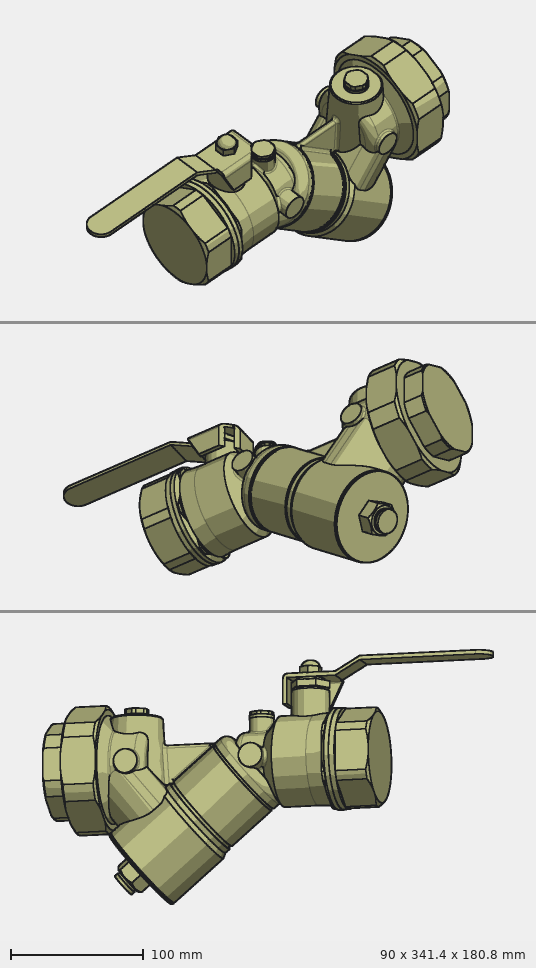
import math

import cadquery as cq

RUN_DIR = (0, -1, 0)
SIDE_NORMAL = (-1, 0, 0)

NEARLY_FULL_ROUND = 0.98

inlet_face = -199.5
nut_start = -182.8
nut_end = -155.7
tail_flats = 69.0
tail_corner_radius = 36.7
nut_flats = 90.0
nut_corner_radius = 48.5
nut_chamfer_length = 1.8
nut_chamfer_depth = 3.0
hex_edge_chamfer = 1.0

cone_large_radius = 41.0
cone_end = -149.2
inlet_neck_radius = 31.0
inlet_neck_end = -122.0
inlet_neck_fillet = 7.4
cone_root_fillet = 1.5
port_radius = 9.2
port_reach = 34.5
port_root_fillet = 1.5
inlet_port_station = -135.3

boss_top = 38.3
boss_bottom = -14.0
boss_top_radius = 20.0
boss_bottom_radius = 23.3
boss_edge_chamfer = 1.0
plug_flats = 17.0
plug_corner_radius = 9.0
plug_collar_radius = 9.5
plug_collar_height = 2.4
inlet_plug_top = 44.9

branch_angle = 40.0
branch_station = -40.0
cap_face = -120.52
cap_radius = 35.6
cap_chamfer = 0.6
cap_line_offset = 1.6
cap_line_width = 0.6
cap_line_depth = 0.4
cap_taper_start = -68.5
cap_taper_end = -64.6
cap_lip_radius = 33.5
cap_groove_start = -60.2
cap_groove_end = -57.5
cap_groove_radius = 32.2
barrel_radius = 33.0
collar_groove_start = -17.2
collar_groove_end = -15.2
collar_groove_radius = 32.2
collar_radius = 33.1
collar_end = -2.5
collar_fillet = 7.2

drain_nut_flats = 24.0
drain_nut_height = 12.5
drain_nut_chamfer_length = 2.0
drain_nut_chamfer_depth = 2.5
drain_neck_radius = 9.0
drain_head_height = 3.0
drain_tip = -138.2

passage_half_width = 30.5
passage_round_centre = -81.4
passage_upper_side = -64.8
passage_corner_radius = 10.0
passage_start_height = 68.0
passage_end_height = 5.0

rib_half_thickness = 2.4
rib_top = 16.7
rib_inlet_station = -120.0
rib_outlet_station = -72.0
rib_depth = 40.0
rib_root_fillet = 3.0

outlet_neck_radius = 23.2
outlet_neck_start = -55.0
outlet_neck_fillet = 6.0
outlet_port_station = -38.0
outlet_plug_top = 38.3
outlet_plug_seat = 33.4
body_cone_start = -31.0
body_start = -21.5
body_radius = 34.4
body_step = 5.1
body_step_radius = 35.2
body_end = 17.6
flange_start = 20.4
flange_end = 28.3
flange_radius = 38.6
flange_step_station = 24.0
flange_step_depth = 0.3
outlet_face = 54.0
outlet_corner_radius = 37.8
outlet_chamfer_length = 2.0
outlet_chamfer_depth = 3.2

stem_radius = 14.4
stem_top = 52.7
gland_neck_radius = 10.5
gland_flats = 25.8
gland_bottom = 54.8
gland_top = 60.0
cap_nut_flats = 14.8
cap_nut_shoulder = 71.2
cap_nut_top = 76.4

lever_thickness = 3.2
lever_top = 76.4
lever_plate_top = 65.4
lever_half_width = 10.9
lever_back = -18.8
lever_bend_start = 22.0
lever_bend_end = 41.2
lever_tip = 141.9
lug_bottom = 42.2
lug_outer_x = 19.4
lug_start = -7.3
lug_end = 20.6
lug_foot_end = 11.0
plate_corner_x = 7.7
stop_bend_radius = 4.0


def side_plane(station, height, angle):
    """Mid-plane drawing plane: local x along the tilted run direction, local y upward."""
    tilt = math.radians(angle)
    return cq.Plane(
        origin=(0, -station, height),
        xDir=(0, -math.cos(tilt), math.sin(tilt)),
        normal=SIDE_NORMAL,
    )


RUN = side_plane(0, 0, 0)
BRANCH = side_plane(branch_station, 0, branch_angle)


def turned(plane, outline):
    """Revolve (distance, radius) points about the local x axis of the plane."""
    start = (outline[0][0], 0)
    end = (outline[-1][0], 0)
    return cq.Workplane(plane).polyline([start] + outline + [end]).close().revolve(360, (0, 0), (1, 0))


def hex_prism(plane, flats, length):
    return cq.Workplane(plane).polygon(6, flats / math.cos(math.pi / 6)).extrude(length)


def run_hex(start, end, flats, envelope):
    """Hexagon along the run with flats at +-X, trimmed by a turned envelope."""
    plane = cq.Plane(origin=(0, -start, 0), xDir=(0, 0, 1), normal=RUN_DIR)
    return hex_prism(plane, flats, end - start).intersect(turned(RUN, envelope))


def upright(station, bottom):
    """Horizontal plane on the run's mid-plane with its normal along +Z."""
    return cq.Workplane("XY", origin=(0, -station, bottom))


def upright_hex(station, bottom, top, flats):
    """Vertical hexagon with corners at +-X."""
    return hex_prism(upright(station, bottom).plane, flats, top - bottom)


def plug_head(station, bottom, top):
    collar = upright(station, bottom).circle(plug_collar_radius).extrude(plug_collar_height)
    head = upright_hex(station, bottom, top, plug_flats)
    round_envelope = upright(station, bottom).circle(plug_corner_radius).extrude(top - bottom)
    return collar.union(head.intersect(round_envelope))


def side_ports(station):
    """A pair of plain round ports pointing to both sides."""
    return cq.Workplane("YZ", origin=(0, -station, 0)).circle(port_radius).extrude(port_reach, both=True)


def edges_around(part, centre, size):
    """Edges whose centres lie inside a box of the given full size."""
    low = tuple(c - s / 2 for c, s in zip(centre, size))
    high = tuple(c + s / 2 for c, s in zip(centre, size))
    return part.edges(cq.selectors.BoxSelector(low, high))


def fillet_port_roots(part, station):
    """Round the seams where a pair of side ports leaves the body."""
    box_side = 2 * port_radius + port_root_fillet
    box_width = 2 * port_reach - port_root_fillet
    seams = edges_around(part, (0, -station, 0), (box_width, box_side, box_side)).edges("%BSPLINE or %OTHER")
    return seams.fillet(port_root_fillet)


def union_end():
    tail = run_hex(inlet_face, nut_end, tail_flats, [
        (inlet_face, tail_corner_radius - hex_edge_chamfer),
        (inlet_face + hex_edge_chamfer, tail_corner_radius),
        (nut_end, tail_corner_radius),
    ])
    nut = run_hex(nut_start, nut_end, nut_flats, [
        (nut_start, nut_corner_radius - nut_chamfer_depth),
        (nut_start + nut_chamfer_length, nut_corner_radius),
        (nut_end - nut_chamfer_length, nut_corner_radius),
        (nut_end, nut_corner_radius - nut_chamfer_depth),
    ])
    return tail.union(nut)


def inlet_neck():
    neck = turned(RUN, [
        (nut_end, cone_large_radius),
        (cone_end, inlet_neck_radius),
        (inlet_neck_end, inlet_neck_radius),
    ])
    neck = neck.faces("<Y").edges().fillet(inlet_neck_fillet)
    cone_root = cq.NearestToPointSelector((0, -cone_end, 0))
    neck = neck.edges(cone_root).fillet(cone_root_fillet).union(side_ports(inlet_port_station))
    return fillet_port_roots(neck, inlet_port_station)


def cover_boss():
    upward = cq.Plane(origin=(0, -inlet_port_station, 0), xDir=(0, 0, 1), normal=SIDE_NORMAL)
    boss = turned(upward, [
        (boss_bottom, boss_bottom_radius),
        (boss_top - boss_edge_chamfer, boss_top_radius),
        (boss_top, boss_top_radius - boss_edge_chamfer),
    ])
    return boss.union(plug_head(inlet_port_station, boss_top, inlet_plug_top))


def strainer_branch():
    cap_line_start = cap_face + cap_line_offset
    cap_line_end = cap_line_start + cap_line_width
    branch = turned(BRANCH, [
        (cap_face, cap_radius - cap_chamfer),
        (cap_face + cap_chamfer, cap_radius),
        (cap_line_start, cap_radius),
        (cap_line_start, cap_radius - cap_line_depth),
        (cap_line_end, cap_radius - cap_line_depth),
        (cap_line_end, cap_radius),
        (cap_taper_start, cap_radius),
        (cap_taper_end, cap_lip_radius),
        (cap_groove_start, cap_lip_radius),
        (cap_groove_start, cap_groove_radius),
        (cap_groove_end, cap_groove_radius),
        (cap_groove_end, barrel_radius),
        (collar_groove_start, barrel_radius),
        (collar_groove_start, collar_groove_radius),
        (collar_groove_end, collar_groove_radius),
        (collar_groove_end, collar_radius),
        (collar_end, collar_radius),
    ])
    end_point = BRANCH.toWorldCoords((collar_end, 0, 0))
    end_rim = cq.NearestToPointSelector((collar_radius, end_point.y, end_point.z))
    return branch.edges(end_rim).fillet(collar_fillet)


def drain_nut():
    base = BRANCH.toWorldCoords((cap_face, 0, 0))
    outward = cq.Plane(origin=base, xDir=BRANCH.yDir, normal=BRANCH.xDir * -1)
    corner_radius = drain_nut_flats / 2 / math.cos(math.pi / 6)
    nut_face = cap_face - drain_nut_height
    envelope = turned(BRANCH, [
        (nut_face, corner_radius - drain_nut_chamfer_depth),
        (nut_face + drain_nut_chamfer_length, corner_radius),
        (cap_face, corner_radius),
    ])
    nut = hex_prism(outward, drain_nut_flats, drain_nut_height).intersect(envelope)
    stub = turned(BRANCH, [
        (drain_tip, plug_collar_radius),
        (drain_tip + drain_head_height, plug_collar_radius),
        (drain_tip + drain_head_height, drain_neck_radius),
        (cap_face, drain_neck_radius),
    ])
    return nut.union(stub)


def passage():
    """Half-round-backed duct square to the branch axis, from the inlet neck down to the cap."""
    origin = BRANCH.toWorldCoords((0, passage_start_height, 0))
    plane = cq.Plane(origin=origin, xDir=BRANCH.xDir, normal=BRANCH.yDir * -1)
    length = passage_start_height - passage_end_height
    width = passage_half_width
    return (
        cq.Workplane(plane)
        .moveTo(passage_round_centre, -width)
        .lineTo(passage_upper_side - passage_corner_radius, -width)
        .radiusArc((passage_upper_side, passage_corner_radius - width), -passage_corner_radius)
        .lineTo(passage_upper_side, width - passage_corner_radius)
        .radiusArc((passage_upper_side - passage_corner_radius, width), -passage_corner_radius)
        .lineTo(passage_round_centre, width)
        .threePointArc((passage_round_centre - width, 0), (passage_round_centre, -width))
        .close()
        .extrude(length)
    )


def rib():
    buried_slant = rib_depth * math.sin(math.radians(branch_angle))
    web = (
        cq.Workplane(RUN)
        .moveTo(rib_inlet_station, rib_top)
        .lineTo(rib_outlet_station, rib_top)
        .lineTo(rib_outlet_station - buried_slant, rib_top - rib_depth)
        .lineTo(rib_inlet_station, rib_top - rib_depth)
        .close()
        .extrude(rib_half_thickness, both=True)
    )
    return web.faces(">Z").edges("|Y").fillet(NEARLY_FULL_ROUND * rib_half_thickness)


def ribbed_boss():
    """Cover boss carrying the rib, with the seams between them rounded."""
    part = cover_boss().union(rib())
    return part.edges("%HYPERBOLA").fillet(rib_root_fillet)


def rib_foot():
    """Concave flare blending both rib sides into the barrel."""
    foot_half_width = rib_half_thickness + rib_root_fillet
    foot_base = math.sqrt(barrel_radius**2 - foot_half_width**2)
    foot_top = foot_base + rib_root_fillet
    origin = BRANCH.toWorldCoords((cap_groove_end, 0, 0))
    plane = cq.Plane(origin=origin, xDir=(1, 0, 0), normal=BRANCH.xDir)
    return (
        cq.Workplane(plane)
        .moveTo(-foot_half_width, foot_base)
        .radiusArc((-rib_half_thickness, foot_top), -rib_root_fillet)
        .lineTo(rib_half_thickness, foot_top)
        .radiusArc((foot_half_width, foot_base), -rib_root_fillet)
        .close()
        .extrude(collar_groove_start - cap_groove_end)
    )


def ball_body():
    neck = turned(RUN, [
        (outlet_neck_start, outlet_neck_radius),
        (body_start, outlet_neck_radius),
    ]).faces(">Y").edges().fillet(outlet_neck_fillet)
    step_radius = flange_radius - flange_step_depth
    body = turned(RUN, [
        (body_cone_start, outlet_neck_radius),
        (body_start, body_radius),
        (body_step, body_radius),
        (body_end, body_step_radius),
        (flange_start, flange_radius),
        (flange_step_station, flange_radius),
        (flange_step_station, step_radius),
        (flange_end, step_radius),
    ])
    outlet = run_hex(body_end, outlet_face, tail_flats, [
        (body_end, outlet_corner_radius),
        (outlet_face - outlet_chamfer_length, outlet_corner_radius),
        (outlet_face, outlet_corner_radius - outlet_chamfer_depth),
    ])
    casting = neck.union(body).union(outlet).union(side_ports(outlet_port_station))
    casting = fillet_port_roots(casting, outlet_port_station)
    casting = casting.union(upright(outlet_port_station, 0).circle(port_radius).extrude(outlet_plug_seat))
    box_side = 2 * port_radius + port_root_fillet
    plug_root = (0, -outlet_port_station, outlet_neck_radius)
    seams = edges_around(casting, plug_root, (box_side, box_side, box_side))
    casting = seams.edges("%BSPLINE").fillet(port_root_fillet)
    return casting.union(plug_head(outlet_port_station, outlet_plug_seat, outlet_plug_top))


def stem():
    lever_underside = lever_plate_top - lever_thickness
    post = upright(0, 0).circle(stem_radius).extrude(stem_top)
    spindle = upright(0, 0).circle(gland_neck_radius).extrude(lever_underside)
    gland_plane = cq.Plane(origin=(0, 0, gland_bottom), xDir=(0, 1, 0), normal=(0, 0, 1))
    gland = hex_prism(gland_plane, gland_flats, gland_top - gland_bottom)
    cap_nut = upright_hex(0, lever_underside, cap_nut_shoulder, cap_nut_flats)
    dome_edge = cap_nut_flats / 2
    dome_height = cap_nut_top - cap_nut_shoulder
    diagonal = math.sin(math.pi / 4)
    dome_middle = (dome_edge * diagonal, cap_nut_shoulder + dome_height * diagonal)
    dome = (
        cq.Workplane("XZ")
        .moveTo(0, cap_nut_shoulder)
        .lineTo(dome_edge, cap_nut_shoulder)
        .threePointArc(dome_middle, (0, cap_nut_top))
        .close()
        .revolve(360, (0, 0), (0, 1))
    )
    return post.union(spindle).union(gland).union(cap_nut).union(dome)


def lever():
    underside = lever_plate_top - lever_thickness
    grip_underside = lever_top - lever_thickness
    strip = (
        cq.Workplane(RUN)
        .moveTo(lever_back, lug_bottom)
        .lineTo(lever_back, lever_plate_top - stop_bend_radius)
        .radiusArc((lever_back + stop_bend_radius, lever_plate_top), stop_bend_radius)
        .lineTo(lever_bend_start, lever_plate_top)
        .lineTo(lever_bend_end, lever_top)
        .lineTo(lever_tip, lever_top)
        .lineTo(lever_tip, grip_underside)
        .lineTo(lever_bend_end, grip_underside)
        .lineTo(lever_bend_start, underside)
        .lineTo(lever_back + lever_thickness, underside)
        .lineTo(lever_back + lever_thickness, lug_bottom)
        .close()
        .extrude(lever_half_width, both=True)
    )
    strip = strip.faces("<Y").edges("|Z").fillet(NEARLY_FULL_ROUND * lever_half_width)
    bracket_start = lever_back + stop_bend_radius
    inner_bend = stop_bend_radius - lever_thickness
    bracket = (
        cq.Workplane("XZ", origin=(0, -bracket_start, 0))
        .moveTo(0, lever_plate_top)
        .lineTo(lug_outer_x - stop_bend_radius, lever_plate_top)
        .radiusArc((lug_outer_x, lever_plate_top - stop_bend_radius), stop_bend_radius)
        .lineTo(lug_outer_x, lug_bottom)
        .lineTo(lug_outer_x - lever_thickness, lug_bottom)
        .lineTo(lug_outer_x - lever_thickness, lever_plate_top - stop_bend_radius)
        .radiusArc((lug_outer_x - stop_bend_radius, underside), -inner_bend)
        .lineTo(0, underside)
        .close()
        .extrude(lug_end - bracket_start)
    )
    foot_cut = (
        cq.Workplane(RUN)
        .moveTo(lug_end, underside)
        .lineTo(lug_end, lug_bottom)
        .lineTo(lug_foot_end, lug_bottom)
        .close()
        .extrude(-lug_outer_x)
    )
    bracket = bracket.cut(foot_cut)
    corner_cut = (
        upright(0, lug_bottom)
        .moveTo(plate_corner_x, -lever_back)
        .lineTo(lug_outer_x, -lug_start)
        .lineTo(lug_outer_x, -lever_back)
        .close()
        .extrude(lever_plate_top - lug_bottom)
    )
    return strip.union(bracket).cut(corner_cut)


result = union_end()
for section in (
    ribbed_boss, inlet_neck, passage, strainer_branch, rib_foot, drain_nut, ball_body, stem, lever,
):
    result = result.union(section())